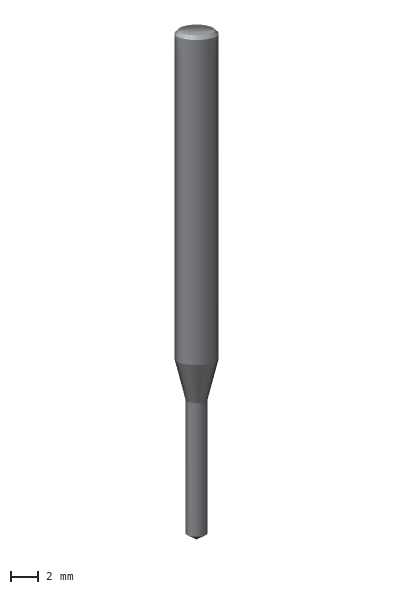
import cadquery as cq
import math

total_length = 38.1
shank_diameter = 3.15
end_chamfer = 0.25
cutter_diameter = 1.55
point_angle = 120.0
cutter_length = 10.2
collar_length = 0.23
taper_length = 3.1

shank_radius = shank_diameter / 2
cutter_radius = cutter_diameter / 2
point_height = cutter_radius / math.tan(math.radians(point_angle / 2))
taper_start = cutter_length + collar_length
taper_end = taper_start + taper_length


def revolve_profile(points):
    """Turn a closed (radius, height) outline around the Z axis."""
    return cq.Workplane("XZ").polyline(points).close().revolve(360, (0, 0, 0), (0, 1, 0))


def make_shank():
    """Round shank with a chamfered top, tapering down to a short collar."""
    return revolve_profile([
        (0, cutter_length),
        (cutter_radius, cutter_length),
        (cutter_radius, taper_start),
        (shank_radius, taper_end),
        (shank_radius, total_length - end_chamfer),
        (shank_radius - end_chamfer, total_length),
        (0, total_length),
    ])


def make_cutter():
    """Slim cylindrical cutter ending in a conical point."""
    return revolve_profile([
        (0, 0),
        (cutter_radius, point_height),
        (cutter_radius, cutter_length),
        (0, cutter_length),
    ])


shank = make_shank()
cutter = make_cutter()

result = cq.Compound.makeCompound([shank.val(), cutter.val()])